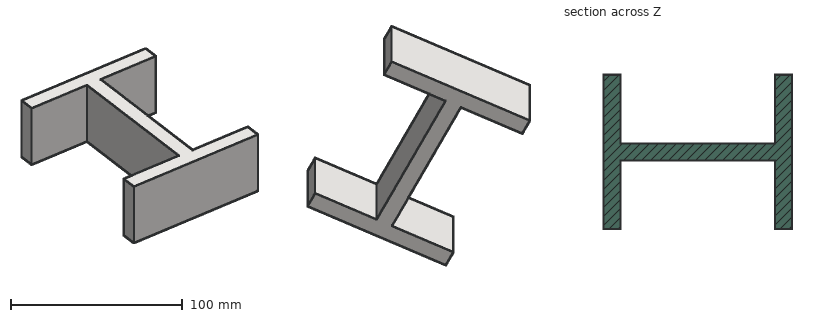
import cadquery as cq

length = 110.0
width = 90.0
height = 40.0
plate_thickness = 10.0

web_length = length - 2 * plate_thickness
flange_offset = (length - plate_thickness) / 2


def flange(x_center):
    """Upright end plate, centred on the given X position."""
    return cq.Workplane("XY").box(plate_thickness, width, height).translate((x_center, 0, 0))


result = cq.Workplane("XY").box(web_length, plate_thickness, height)

for side in (-1, 1):
    result = result.union(flange(side * flange_offset))